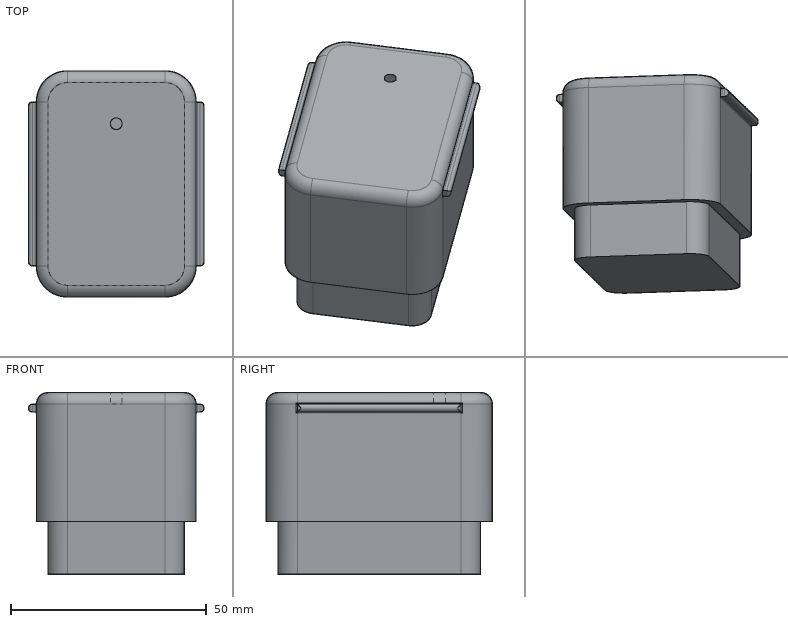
import cadquery as cq

cover_length = 57.87
cover_width = 40.9
cover_corner_radius = 8.0
rim_radius = 3.0

base_inset = 3.0
base_height = 13.5
total_height = 46.5

cover_height = total_height - base_height
base_length = cover_length - 2 * base_inset
base_width = cover_width - 2 * base_inset
base_corner_radius = cover_corner_radius - base_inset

rail_reach = 2.0
rail_thickness = 2.0
rail_nose_radius = rail_thickness / 2
rail_foot_radius = 0.3
rail_root_depth = 0.5
rail_length = cover_length - 2 * cover_corner_radius
rail_top = total_height - rim_radius
rail_middle = rail_top - rail_thickness / 2

hole_diameter = 3.0
hole_depth = 3.0
hole_y = 15.4


def rounded_block(width, length, height, corner_radius, bottom):
    block = cq.Workplane("XY").workplane(offset=bottom).rect(width, length).extrude(height)
    return block.edges("|Z").fillet(corner_radius)


def rail_bar():
    """Bar with a half-round nose and rounded ends, its far half reaching inward from X = 0."""
    bar_width = 2 * rail_reach
    rounded_nose = (
        cq.Workplane("XZ")
        .slot2D(bar_width, rail_thickness)
        .extrude(rail_length / 2, both=True)
    )
    rounded_ends = rounded_block(
        bar_width, rail_length, rail_thickness, rail_nose_radius, -rail_thickness / 2
    )
    return rounded_nose.intersect(rounded_ends)


def rail():
    """Rail pointing along +X from the wall plane X = 0, with a concave fillet round its foot.

    A shallow root behind the wall plane lets it join the cover.
    """
    wall = cq.Workplane("XY").box(
        2 * rail_reach, 2 * rail_length, 2 * rail_thickness, centered=(False, True, True)
    )
    wall = wall.translate((-2 * rail_reach, 0, 0))
    rail_on_wall = wall.union(rail_bar())
    half_foot_length = rail_length / 2 + rail_foot_radius
    half_foot_thickness = rail_thickness / 2 + rail_foot_radius
    foot_zone = cq.selectors.BoxSelector(
        (-rail_foot_radius, -half_foot_length, -half_foot_thickness),
        (rail_foot_radius, half_foot_length, half_foot_thickness),
        boundingbox=True,
    )
    rail_on_wall = rail_on_wall.edges(foot_zone).fillet(rail_foot_radius)
    envelope = cq.Workplane("XY").box(
        rail_root_depth + rail_reach,
        2 * half_foot_length,
        2 * half_foot_thickness,
        centered=(False, True, True),
    )
    return rail_on_wall.intersect(envelope.translate((-rail_root_depth, 0, 0)))


def make_cover():
    body = rounded_block(cover_width, cover_length, cover_height, cover_corner_radius, base_height)
    body = body.faces(">Z").edges().fillet(rim_radius)
    right_rail = rail().translate((cover_width / 2, 0, rail_middle))
    body = body.union(right_rail).union(right_rail.mirror("YZ"))
    hole = (
        cq.Workplane("XY")
        .workplane(offset=total_height - hole_depth)
        .center(0, hole_y)
        .circle(hole_diameter / 2)
        .extrude(hole_depth)
    )
    return body.cut(hole)


def make_base():
    return rounded_block(base_width, base_length, base_height, base_corner_radius, 0)


cover = make_cover()
base = make_base()

result = cq.Compound.makeCompound([cover.val(), base.val()])